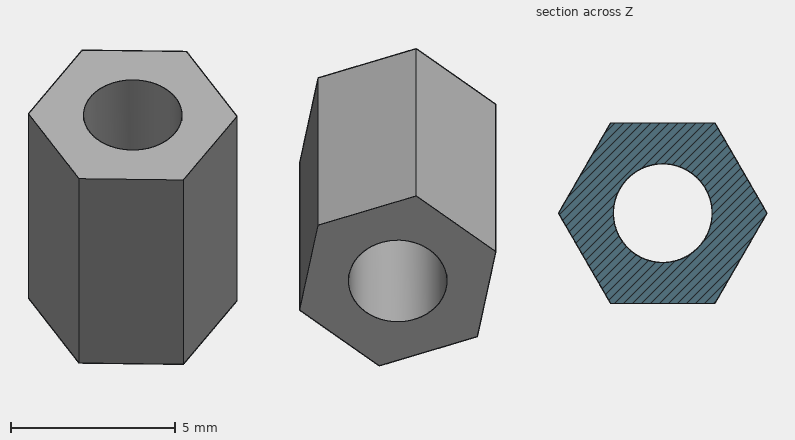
import cadquery as cq
import math

length = 8.0
across_flats = 5.5
bore_diameter = 3.0

across_corners = across_flats / math.cos(math.pi / 6)

hex_body = cq.Workplane("XY").polygon(6, across_corners).extrude(length)

result = hex_body.faces(">Z").workplane().hole(bore_diameter)